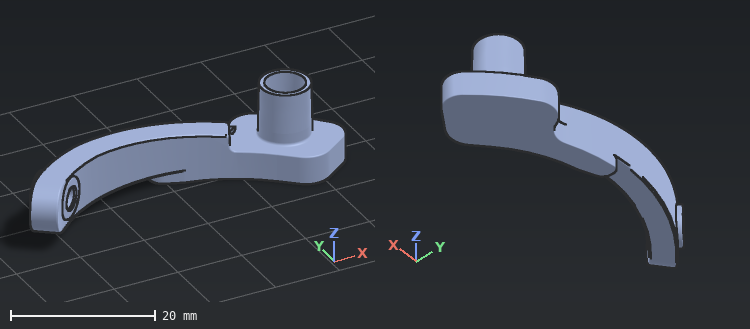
import cadquery as cq
import math

ARC_CENTER = (-20.14, -23.57)
INNER_RADIUS = 25.0
ARM_RADIUS = 29.0
PLATE_RADIUS = 36.0
MID_RADIUS = (INNER_RADIUS + ARM_RADIUS) / 2

PLATE_END_ANGLE = 35.2
PLATE_TANGENT_ANGLE = 49.0
STEP_ANGLE = 64.1
EYE_ANGLE = 129.5
ARM_END_ANGLE = 142.7
RAMP_OVERRUN = 10.0

STEP_REACH = 31.8

PLATE_TOP = 4.42
ARM_BOTTOM = 1.8
ARM_TOP = 9.55
STEP_TOP = 7.06
RAMP_SLOPE = 0.097
LEAD_SLOPE = 0.045
LEAD_DIRECTION = 23.0
LEAD_START = (-38.5, -1.4)

PLATE_INNER_CORNER = 3.7
PLATE_OUTER_CORNER = 3.1
PLATE_BACK_CORNER = 3.5
BACK_BLEND = 3.0
BLEND_CHAMFER = 1.0
STEP_CREST = 0.8
STEP_ROOT = 1.0
CREST_OVERLAP = 0.02
ARM_EDGE_ROUND = 0.25
PLATE_EDGE_ROUND = 0.15

FOOT_END = -19.2
FOOT_END_CORNER = 2.5
NOSE_ROUND = 2.0
NOSE_ANGLE = 78.6
FOOT_TIP_ROUND = 1.1

POST_HEIGHT = 12.5
POST_BASE_RADIUS = 3.8
POST_TOP_RADIUS = 3.66
POST_STRAIGHT_TOP = 6.4
POST_ROOT = 0.5
BORE_TOP_RADIUS = 2.9
BORE_FLOOR_RADIUS = 2.75

EYE_HEIGHT = 5.9
EYE_RADIUS = 3.1
EYE_INNER_FACE = 24.7
EYE_OUTER_FACE = 29.75
EYE_HOLE_RADIUS = 1.5
EYE_ROUND = 0.25

TOLERANCE = 0.001
EDGE_REACH = 0.3
MARGIN = 6.0

BLEND_CENTER_RADIUS = ARM_RADIUS + BACK_BLEND
BLEND_TURN = math.degrees(math.asin(BACK_BLEND / BLEND_CENTER_RADIUS))
ARC_RISE = 1 - math.sqrt(0.5)


def polar(radius, angle):
    """Point at a polar position about the arc centre."""
    a = math.radians(angle)
    return (ARC_CENTER[0] + radius * math.cos(a), ARC_CENTER[1] + radius * math.sin(a))


def sector(inner, outer, start, end, bottom, top):
    """Annular sector about the arc centre."""
    middle = (start + end) / 2
    return (
        cq.Workplane("XY", origin=(0, 0, bottom))
        .moveTo(*polar(inner, start))
        .lineTo(*polar(outer, start))
        .threePointArc(polar(outer, middle), polar(outer, end))
        .lineTo(*polar(inner, end))
        .threePointArc(polar(inner, middle), polar(inner, start))
        .close()
        .extrude(top - bottom)
    )


def upright_edge(radius, angle):
    """Selector for the vertical edge at a polar position."""
    x, y = polar(radius, angle)
    low_corner = (x - EDGE_REACH, y - EDGE_REACH, -MARGIN)
    high_corner = (x + EDGE_REACH, y + EDGE_REACH, POST_HEIGHT + MARGIN)
    return cq.selectors.BoxSelector(low_corner, high_corner)


def edges_at_radius(body, radius, lowest):
    """Edges that run along a plan circle of the lever, none of them upright, above a height."""

    def lies_on_circle(edge):
        on_circle = True
        for fraction in (0, 0.5, 1):
            point = edge.positionAt(fraction)
            distance = math.hypot(point.x - ARC_CENTER[0], point.y - ARC_CENTER[1])
            on_circle = on_circle and abs(distance - radius) < TOLERANCE
        return on_circle and edge.Center().z > lowest

    return body.edges("not |Z").filter(lies_on_circle)


def make_foot():
    """Part of the plate that reaches back under the arm, ending in a rounded nose."""
    band = sector(INNER_RADIUS, ARM_RADIUS, STEP_ANGLE, EYE_ANGLE, 0, PLATE_TOP)
    nose = polar(INNER_RADIUS, NOSE_ANGLE)
    root = polar(INNER_RADIUS - MARGIN, STEP_ANGLE)
    top = ARC_CENTER[1] + ARM_RADIUS + MARGIN
    limit = (
        cq.Workplane("XY")
        .polyline([(FOOT_END, top), (FOOT_END, FOOT_END_CORNER), nose, root, (0, root[1]), (0, top)])
        .close()
        .extrude(PLATE_TOP)
    )
    foot = band.intersect(limit)
    foot = foot.edges("|Z and <X").edges("<Y").fillet(NOSE_ROUND)
    return foot.edges("|Z and <X").edges(">Y").fillet(FOOT_TIP_ROUND)


def make_plate():
    """Post plate with its foot, rounded corners and the plan blend towards the arm."""
    tangent_turn = math.radians(PLATE_TANGENT_ANGLE - PLATE_END_ANGLE)
    corner_radius = INNER_RADIUS / math.cos(tangent_turn)
    plate = (
        cq.Workplane("XY")
        .moveTo(*polar(corner_radius, PLATE_END_ANGLE))
        .lineTo(*polar(PLATE_RADIUS, PLATE_END_ANGLE))
        .threePointArc(
            polar(PLATE_RADIUS, (PLATE_END_ANGLE + STEP_ANGLE) / 2),
            polar(PLATE_RADIUS, STEP_ANGLE),
        )
        .lineTo(*polar(INNER_RADIUS, STEP_ANGLE))
        .threePointArc(
            polar(INNER_RADIUS, (PLATE_TANGENT_ANGLE + STEP_ANGLE) / 2),
            polar(INNER_RADIUS, PLATE_TANGENT_ANGLE),
        )
        .close()
        .extrude(PLATE_TOP)
    )
    corners = [
        (corner_radius, PLATE_END_ANGLE, PLATE_INNER_CORNER),
        (PLATE_RADIUS, PLATE_END_ANGLE, PLATE_OUTER_CORNER),
        (PLATE_RADIUS, STEP_ANGLE, PLATE_BACK_CORNER),
    ]
    for radius, angle, rounding in corners:
        plate = plate.edges("|Z").edges(upright_edge(radius, angle)).fillet(rounding)
    plate = plate.union(make_foot()).clean()
    plate = plate.edges("|Z").edges(upright_edge(ARM_RADIUS, STEP_ANGLE)).fillet(BACK_BLEND)
    return plate.faces("<Z").edges().fillet(PLATE_EDGE_ROUND)


def make_blend_cutter():
    """Space beside the arm that widens the back blend along a slope below the plate's top."""
    wide = BACK_BLEND + BLEND_CHAMFER
    slope_bottom = PLATE_TOP - BLEND_CHAMFER
    profile = (
        cq.Workplane("XZ")
        .polyline([
            (0, slope_bottom),
            (BACK_BLEND, slope_bottom),
            (wide, PLATE_TOP),
            (wide, ARM_TOP + MARGIN),
            (0, ARM_TOP + MARGIN),
        ])
        .close()
        .revolve(360, (0, 0, 0), (0, 1, 0))
    )
    center = polar(BLEND_CENTER_RADIUS, STEP_ANGLE + BLEND_TURN)
    reach = sector(
        ARM_RADIUS, BLEND_CENTER_RADIUS,
        STEP_ANGLE - BLEND_TURN, STEP_ANGLE + BLEND_TURN, 0, ARM_TOP + MARGIN,
    )
    return profile.translate((*center, 0)).intersect(reach)


def make_step_root():
    """Block in front of the step, from which the concave root is cut."""
    start = STEP_ANGLE - BLEND_TURN
    return sector(INNER_RADIUS, STEP_REACH, start, STEP_ANGLE, ARM_BOTTOM, PLATE_TOP + STEP_ROOT)


def make_step_cutter():
    """Space above the plate, up to the rounded step at the arm's root."""
    high = ARM_TOP + MARGIN
    far = PLATE_RADIUS
    root_rise = STEP_ROOT * ARC_RISE
    crest_rise = STEP_CREST * ARC_RISE
    profile = (
        cq.Workplane("XZ")
        .moveTo(far, PLATE_TOP)
        .lineTo(STEP_ROOT, PLATE_TOP)
        .threePointArc((root_rise, PLATE_TOP + root_rise), (0, PLATE_TOP + STEP_ROOT))
        .lineTo(0, STEP_TOP - STEP_CREST)
        .threePointArc((-crest_rise, STEP_TOP - crest_rise), (-STEP_CREST, STEP_TOP))
        .lineTo(-STEP_CREST - MARGIN, high)
        .lineTo(far, high)
        .close()
        .extrude(-2 * PLATE_RADIUS)
    )
    return profile.rotate((0, 0, 0), (0, 0, 1), STEP_ANGLE - 90).translate((*ARC_CENTER, 0))


def make_ramp_cutter():
    """Space above the helical ramp, which falls along the arm at a steady slope."""
    pitch = RAMP_SLOPE * 2 * math.pi * MID_RADIUS
    start = STEP_ANGLE - RAMP_OVERRUN
    turn = EYE_ANGLE + RAMP_OVERRUN - start
    path = cq.Wire.makeHelix(pitch, pitch * turn / 360, MID_RADIUS)
    width = 3 * (ARM_RADIUS - INNER_RADIUS)
    crest_angle = STEP_ANGLE + math.degrees(STEP_CREST / MID_RADIUS)
    start_height = STEP_TOP - CREST_OVERLAP - pitch * (crest_angle - start) / 360
    slab = (
        cq.Workplane("XZ")
        .center(MID_RADIUS, MARGIN / 2)
        .rect(width, MARGIN)
        .sweep(cq.Workplane(obj=path), isFrenet=True)
    )
    return slab.rotate((0, 0, 0), (0, 0, 1), start).translate((*ARC_CENTER, start_height))


def make_lead_cutter():
    """Space above the gently sloped plane between the level top and the ramp."""
    tilt = math.degrees(math.atan(LEAD_SLOPE))
    size = 4 * PLATE_RADIUS
    space = cq.Workplane("XY").box(size, size, size, centered=(True, True, False))
    space = space.rotate((0, 0, 0), (0, 1, 0), tilt)
    return space.rotate((0, 0, 0), (0, 0, 1), LEAD_DIRECTION).translate((*LEAD_START, ARM_TOP))


def make_end_limit():
    """Block across the arm whose free end is a half cylinder."""
    round_radius = (ARM_TOP - ARM_BOTTOM) / 2
    length = 3 * PLATE_RADIUS
    block = (
        cq.Workplane("XZ")
        .moveTo(length, ARM_BOTTOM)
        .lineTo(round_radius, ARM_BOTTOM)
        .threePointArc((0, ARM_BOTTOM + round_radius), (round_radius, ARM_TOP))
        .lineTo(length, ARM_TOP)
        .close()
        .extrude(-PLATE_RADIUS)
    )
    return block.rotate((0, 0, 0), (0, 0, 1), ARM_END_ANGLE - 90).translate((*ARC_CENTER, 0))


def make_arm():
    """Curved arm with its round end and sloped top, rounded along the outer side."""
    arm = sector(INNER_RADIUS, ARM_RADIUS, STEP_ANGLE, ARM_END_ANGLE, ARM_BOTTOM, ARM_TOP)
    arm = arm.intersect(make_end_limit()).cut(make_ramp_cutter()).cut(make_lead_cutter())
    return edges_at_radius(arm, ARM_RADIUS, 0).fillet(ARM_EDGE_ROUND)


def make_body():
    """Plate, foot and arm with the step between them and rounded edges."""
    body = make_plate().union(make_arm()).union(make_step_root()).clean()
    body = body.cut(make_step_cutter()).cut(make_blend_cutter())
    return edges_at_radius(body, INNER_RADIUS, ARM_BOTTOM - TOLERANCE).fillet(ARM_EDGE_ROUND)


def eye_axis(radius):
    """Plane on the pivot eye's axis, facing outward, at a distance from the arc centre."""
    x, y = polar(radius, EYE_ANGLE)
    a = math.radians(EYE_ANGLE)
    outward = (math.cos(a), math.sin(a), 0)
    return cq.Workplane(cq.Plane(origin=(x, y, EYE_HEIGHT), xDir=(0, 0, 1), normal=outward))


def make_eye():
    """Barrel of the pivot eye with rounded rims."""
    barrel = eye_axis(EYE_INNER_FACE).circle(EYE_RADIUS).extrude(EYE_OUTER_FACE - EYE_INNER_FACE)
    return barrel.edges().fillet(EYE_ROUND)


def make_eye_hole():
    """Through hole of the pivot eye, flared at both mouths."""
    length = EYE_OUTER_FACE - EYE_INNER_FACE
    hole = eye_axis(EYE_INNER_FACE).circle(EYE_HOLE_RADIUS).extrude(length)
    mouth = EYE_HOLE_RADIUS + EYE_ROUND
    for face, depth in ((EYE_INNER_FACE, EYE_ROUND), (EYE_OUTER_FACE, -EYE_ROUND)):
        flare = eye_axis(face).circle(mouth).workplane(offset=depth).circle(EYE_HOLE_RADIUS).loft()
        hole = hole.union(flare)
    return hole


def make_post():
    """Slightly tapered post with a flared root."""
    flare = POST_ROOT * ARC_RISE
    root_radius = POST_BASE_RADIUS + POST_ROOT
    return (
        cq.Workplane("XZ")
        .moveTo(0, PLATE_TOP - POST_ROOT)
        .lineTo(root_radius, PLATE_TOP - POST_ROOT)
        .lineTo(root_radius, PLATE_TOP)
        .threePointArc(
            (POST_BASE_RADIUS + flare, PLATE_TOP + flare),
            (POST_BASE_RADIUS, PLATE_TOP + POST_ROOT),
        )
        .lineTo(POST_BASE_RADIUS, POST_STRAIGHT_TOP)
        .lineTo(POST_TOP_RADIUS, POST_HEIGHT)
        .lineTo(0, POST_HEIGHT)
        .close()
        .revolve(360, (0, 0, 0), (0, 1, 0))
    )


def make_bore():
    """Tapered blind bore of the post, down to the plate's top."""
    return (
        cq.Workplane("XY", origin=(0, 0, PLATE_TOP))
        .circle(BORE_FLOOR_RADIUS)
        .workplane(offset=POST_HEIGHT - PLATE_TOP)
        .circle(BORE_TOP_RADIUS)
        .loft()
    )


body = make_body()
result = body.union(make_eye()).union(make_post()).cut(make_eye_hole()).cut(make_bore())